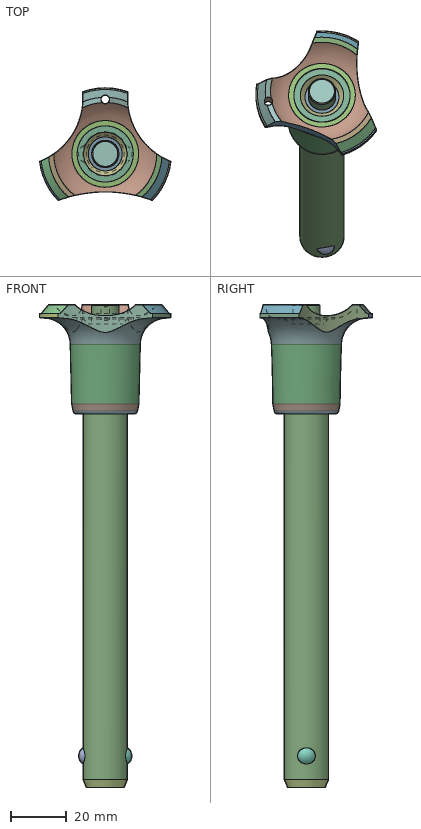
import math

import cadquery as cq

OVERALL_LENGTH = 173.7

GRIP_HEIGHT = 39.3
BARREL_TOP_RADIUS = 12.65
BARREL_BOTTOM_RADIUS = 12.15
BARREL_TOP_DEPTH = 14.3
BASE_BAND_HEIGHT = 3.6
BASE_BAND_RADIUS = 11.4
BASE_FILLET = 1.2

RIM_RADIUS = 23.8
LIP_WIDTH = 0.6
LIP_DEPTH = 3.2
RIM_THICKNESS = 1.5
FLARE_RADIUS = 9.4
CREST_OUTER_RADIUS = 20.4
CREST_INNER_RADIUS = 18.5

BOWL_FLOOR_RADIUS = 12.0
BOWL_DEPTH = 4.7
BOWL_MID_RADIUS = 16.3
BOWL_MID_DEPTH = 2.3
STEP_RADIUS = 10.1
STEP_DEPTH = 0.5
RECESS_TOP_RADIUS = 7.8
RECESS_FLOOR_RADIUS = 6.1
RECESS_DEPTH = 7.0

FRONT_SCALLOP_RADIUS = 48.5
FRONT_SCALLOP_DISTANCE = 13.7
SIDE_SCALLOP_RADIUS = 24.4
SIDE_SCALLOP_DISTANCE = 13.75
FRONT_SCALLOP_ANGLE = -90.0
SIDE_SCALLOP_ANGLE = 31.7

LANYARD_HOLE_DIAMETER = 3.0
LANYARD_HOLE_OFFSET = 19.6

BUTTON_RADIUS = 4.9
BUTTON_CHAMFER = 0.4

PIN_RADIUS = 8.0
PIN_TIP_RADIUS = 6.8
PIN_TIP_LENGTH = 2.9

BALL_RADIUS = 3.4
BALL_REACH = 9.6
BALL_HEIGHT = 11.4

TIP_Z = GRIP_HEIGHT - OVERALL_LENGTH
RECESS_FLOOR_Z = GRIP_HEIGHT - RECESS_DEPTH


def make_grip():
    """Revolved grip with the flared underside, the bowl and the button recess."""
    top = GRIP_HEIGHT
    barrel_top_z = top - BARREL_TOP_DEPTH
    rim_bottom_z = top - LIP_DEPTH - RIM_THICKNESS
    flare_center_radius = BARREL_TOP_RADIUS + FLARE_RADIUS
    flare_offset = FLARE_RADIUS * math.sqrt(0.5)
    bowl_floor_z = top - BOWL_DEPTH
    step_z = bowl_floor_z - STEP_DEPTH

    profile = (
        cq.Workplane("XZ")
        .lineTo(BASE_BAND_RADIUS, 0)
        .lineTo(BARREL_BOTTOM_RADIUS, BASE_BAND_HEIGHT)
        .lineTo(BARREL_TOP_RADIUS, barrel_top_z)
        .threePointArc(
            (flare_center_radius - flare_offset, barrel_top_z + flare_offset),
            (flare_center_radius, barrel_top_z + FLARE_RADIUS),
        )
        .lineTo(RIM_RADIUS, rim_bottom_z)
        .lineTo(RIM_RADIUS, top - LIP_DEPTH)
        .lineTo(RIM_RADIUS - LIP_WIDTH, top - LIP_DEPTH)
        .lineTo(CREST_OUTER_RADIUS, top)
        .lineTo(CREST_INNER_RADIUS, top)
        .threePointArc((BOWL_MID_RADIUS, top - BOWL_MID_DEPTH), (BOWL_FLOOR_RADIUS, bowl_floor_z))
        .lineTo(STEP_RADIUS, bowl_floor_z)
        .lineTo(STEP_RADIUS, step_z)
        .lineTo(RECESS_TOP_RADIUS, step_z)
        .lineTo(RECESS_FLOOR_RADIUS, RECESS_FLOOR_Z)
        .lineTo(0, RECESS_FLOOR_Z)
        .close()
    )
    grip = profile.revolve(360, (0, 0, 0), (0, 1, 0))
    return grip.faces("<Z").edges().fillet(BASE_FILLET)


def make_scallop(radius, distance, angle):
    """Vertical cylinder that trims the handle to the given distance from the axis."""
    center_distance = distance + radius
    center_x = center_distance * math.cos(math.radians(angle))
    center_y = center_distance * math.sin(math.radians(angle))
    return cq.Workplane("XY").center(center_x, center_y).circle(radius).extrude(GRIP_HEIGHT)


def cut_scallops(grip):
    """Trim the round rim into three lobes, symmetric about the YZ plane."""
    grip = grip.cut(make_scallop(FRONT_SCALLOP_RADIUS, FRONT_SCALLOP_DISTANCE, FRONT_SCALLOP_ANGLE))
    for angle in (SIDE_SCALLOP_ANGLE, 180 - SIDE_SCALLOP_ANGLE):
        grip = grip.cut(make_scallop(SIDE_SCALLOP_RADIUS, SIDE_SCALLOP_DISTANCE, angle))
    return grip


def cut_lanyard_hole(grip):
    """Vertical hole through the crest of the +Y lobe."""
    hole = (
        cq.Workplane("XY")
        .center(0, LANYARD_HOLE_OFFSET)
        .circle(LANYARD_HOLE_DIAMETER / 2)
        .extrude(GRIP_HEIGHT)
    )
    return grip.cut(hole)


def make_button():
    """Release button, flush with the crests of the lobes."""
    button = cq.Workplane("XY").circle(BUTTON_RADIUS).extrude(GRIP_HEIGHT)
    return button.faces(">Z").chamfer(BUTTON_CHAMFER)


def make_pin():
    """Shank with a tapered tip, running up into the grip."""
    profile = (
        cq.Workplane("XZ")
        .moveTo(0, TIP_Z)
        .lineTo(PIN_TIP_RADIUS, TIP_Z)
        .lineTo(PIN_RADIUS, TIP_Z + PIN_TIP_LENGTH)
        .lineTo(PIN_RADIUS, GRIP_HEIGHT / 2)
        .lineTo(0, GRIP_HEIGHT / 2)
        .close()
    )
    return profile.revolve(360, (0, 0, 0), (0, 1, 0))


def make_ball(side):
    """Locking ball that protrudes from the shank; side is +1 or -1 along X."""
    center_x = side * (BALL_REACH - BALL_RADIUS)
    return cq.Workplane("XY").sphere(BALL_RADIUS).translate((center_x, 0, TIP_Z + BALL_HEIGHT))


result = cut_lanyard_hole(cut_scallops(make_grip()))
result = result.union(make_button()).union(make_pin())
for ball_side in (-1, 1):
    result = result.union(make_ball(ball_side))